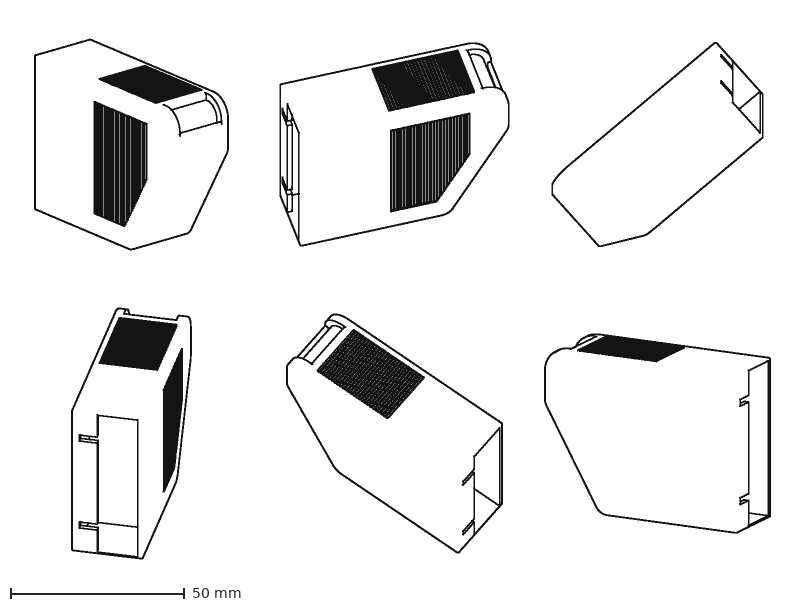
import cadquery as cq
import math

length = 62.7
width = 21.0
height = 47.5

top_radius = 6.65
slant_angle = 60.0
slant_top = 31.1
slant_radius = 4.0
edge_radius = 0.5

cavity_depth = 16.0
side_wall = 1.5
end_wall = 0.7
lip_thickness = 1.5
lip_reach = 7.5
slot_height = 2.0
slot_margin = 8.1
slot_end_margin = 2.3

groove_width = 0.75
groove_depth = 0.7
grille_start = 27.15
side_groove_count = 24
side_grille_margin = 6.65
top_groove_count = 26
top_grille_end = 52.85
top_grille_margin = 2.0

window_margin = 2.75
window_setback = 0.4
shell_thickness = 1.1
roller_gap = 1.0
trough_depth = 2.0

slant_run = slant_top / math.tan(math.radians(slant_angle))
arc_x = length - top_radius
arc_z = height - top_radius
roller_radius = top_radius - shell_thickness - roller_gap
groove_pitch = (top_grille_end - grille_start - groove_width) / (top_groove_count - 1)
diagonal = math.sqrt(0.5)


def make_body():
    """Side outline extruded across the width, with rounded outer edges."""
    body = (
        cq.Workplane("XZ", origin=(0, width / 2, 0))
        .polyline([
            (0, 0),
            (length - slant_run, 0),
            (length, slant_top),
            (length, height),
            (0, height),
        ])
        .close()
        .extrude(width)
    )
    body = body.edges(cq.selectors.NearestToPointSelector((length, 0, height))).fillet(top_radius)
    for corner in [(length, 0, slant_top), (length - slant_run, 0, 0)]:
        body = body.edges(cq.selectors.NearestToPointSelector(corner)).fillet(slant_radius)
    return body.faces("<X or <Y or >Y").edges().fillet(edge_radius)


def box_between(low, high):
    """Box with its low and high corners at the given points."""
    size = [b - a for a, b in zip(low, high)]
    return cq.Workplane("XY").box(*size, centered=False).translate(low)


def make_cavity():
    """Cavity with a partly closed mouth, and two slots through the closing lip."""
    front = -width / 2 + side_wall
    floor = end_wall
    ceiling = height - end_wall
    lip_edge = width / 2 - lip_reach
    chamber = box_between(
        (lip_thickness, front, floor),
        (cavity_depth, width / 2 - side_wall, ceiling),
    )
    mouth = box_between((0, front, floor), (lip_thickness, lip_edge, ceiling))
    cavity = chamber.union(mouth)
    for slot_bottom in [slot_margin, height - slot_margin - slot_height]:
        slot = box_between(
            (0, lip_edge, slot_bottom),
            (lip_thickness, width / 2 - slot_end_margin, slot_bottom + slot_height),
        )
        cavity = cavity.union(slot)
    return cavity


def make_grooves(groove_count, groove_length):
    """Row of V-grooves sunk below Z = 0, starting at Y = 0 and running along +Y."""
    profiles = cq.Workplane("XZ")
    for index in range(groove_count):
        left = grille_start + index * groove_pitch
        profiles = profiles.polyline([
            (left, 0),
            (left + groove_width, 0),
            (left + groove_width / 2, -groove_depth),
        ]).close()
    return profiles.extrude(-groove_length)


def make_top_grille():
    """Grooves across the top face."""
    grooves = make_grooves(top_groove_count, width - 2 * top_grille_margin)
    return grooves.translate((0, -width / 2 + top_grille_margin, height))


def make_side_grille():
    """Upright grooves in the -Y face, cut off parallel to the sloping underside."""
    bottom = side_grille_margin
    top = height - side_grille_margin
    grooves = (
        make_grooves(side_groove_count, top - bottom)
        .rotate((0, 0, 0), (1, 0, 0), 90)
        .translate((0, -width / 2, bottom))
    )
    slope = math.radians(slant_angle)
    slant_foot = length - slant_run - side_grille_margin / math.sin(slope)
    border = (
        cq.Workplane("XZ", origin=(0, -width / 2, 0))
        .polyline([
            (0, 0),
            (slant_foot, 0),
            (slant_foot + height / math.tan(slope), height),
            (0, height),
        ])
        .close()
        .extrude(-groove_depth)
    )
    return grooves.intersect(border)


def make_window():
    """Opening in the rounded corner that leaves a roller standing behind a lip with rounded edges."""
    window_start = arc_x - window_setback
    lip_inside = length - shell_thickness
    lip_crest = arc_z - window_setback
    lip_shoulder = lip_crest - edge_radius
    trough_floor = lip_crest - trough_depth
    roller_top = arc_z + roller_radius
    return (
        cq.Workplane("XZ", origin=(0, width / 2 - window_margin, 0))
        .moveTo(window_start - edge_radius, height)
        .radiusArc((window_start, height - edge_radius), edge_radius)
        .lineTo(window_start, roller_top)
        .lineTo(arc_x, roller_top)
        .threePointArc(
            (arc_x + roller_radius * diagonal, arc_z + roller_radius * diagonal),
            (arc_x + roller_radius, arc_z),
        )
        .lineTo(arc_x + roller_radius, trough_floor)
        .lineTo(lip_inside, trough_floor)
        .lineTo(lip_inside, lip_shoulder)
        .radiusArc((lip_inside + edge_radius, lip_crest), edge_radius)
        .lineTo(length - edge_radius, lip_crest)
        .radiusArc((length, lip_shoulder), edge_radius)
        .lineTo(length, height)
        .close()
        .extrude(width - 2 * window_margin)
    )


result = (
    make_body()
    .cut(make_cavity())
    .cut(make_top_grille())
    .cut(make_side_grille())
    .cut(make_window())
)